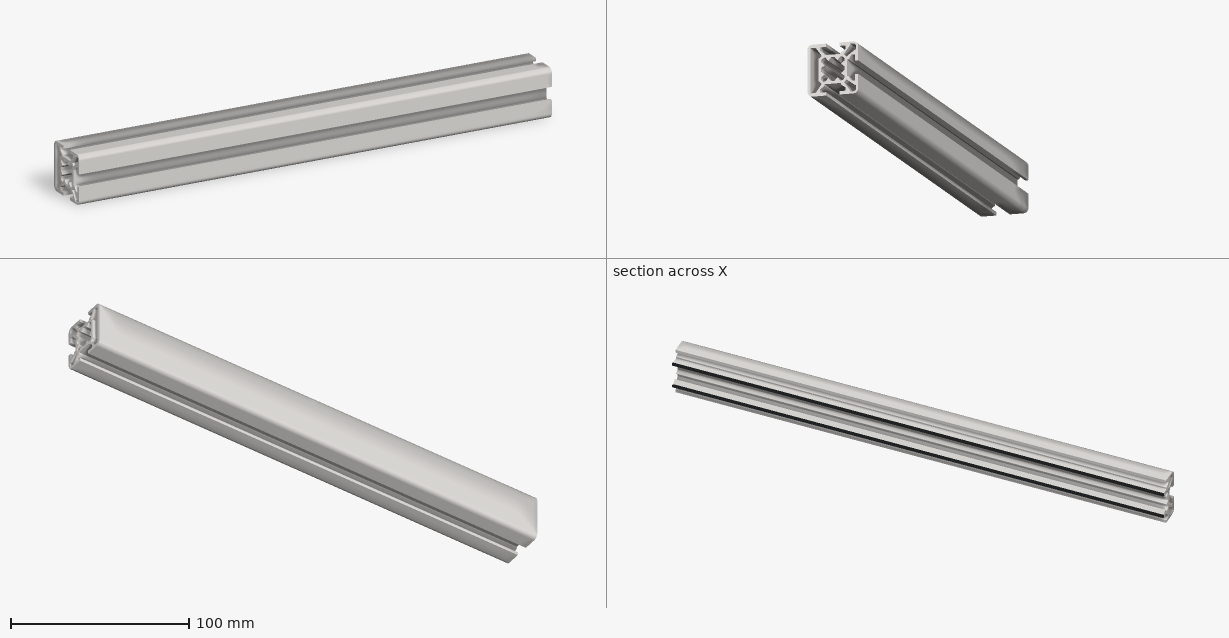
import cadquery as cq

LENGTH = 300.0
WIDTH = 30.0
HALF = WIDTH / 2
CORNER_RADIUS = 3.0

WALL = 1.95
CORNER_WALL = 1.2
CORE_WALL = 1.5

ROOF = HALF - WALL
CORNER_ROOF = HALF - CORNER_WALL

CORE_HALF = 8.5
BORE_HALF = CORE_HALF - CORE_WALL
BORE_FLAT_START = 5.7

RIB_CENTER = 2.7
RIB_BASE_HALF = 1.65
RIB_TIP_HALF = 0.15
RIB_HEIGHT = 1.95

SLOT_HALF = 4.0
SLOT_FLOOR_HALF = 4.8
SLOT_ROOF_HALF = 7.5
SLOT_FOOT_HEIGHT = 9.3
SLOT_SIDE_HEIGHT = 11.0

WEB_INNER_NEAR = 6.5
WEB_INNER_FAR = 8.0
WEB_OUTER = 10.2


def bar_of(section):
    """Full-length bar with the given section."""
    return section.extrude(LENGTH / 2, both=True)


def prism(points):
    """Full-length bar with a polygonal section."""
    return bar_of(cq.Workplane("XZ").polyline(points).close())


def square_bar(half_side):
    """Full-length bar with a square section."""
    return bar_of(cq.Workplane("XZ").rect(2 * half_side, 2 * half_side))


def turned(bar, angle):
    """Bar turned about the long axis."""
    return bar.rotate((0, 0, 0), (0, 1, 0), angle)


def t_slot():
    """Undercut slot open at the top."""
    right = [
        (SLOT_FLOOR_HALF, CORE_HALF),
        (SLOT_FLOOR_HALF, SLOT_FOOT_HEIGHT),
        (SLOT_ROOF_HALF, SLOT_SIDE_HEIGHT),
        (SLOT_ROOF_HALF, ROOF),
        (SLOT_HALF, ROOF),
        (SLOT_HALF, HALF),
    ]
    left = [(-x, z) for x, z in reversed(right)]
    return prism(right + left)


def rib(center):
    """Pointed rib on the top wall of the core, aimed at the bore."""
    tip = BORE_HALF - RIB_HEIGHT
    return prism([
        (center - RIB_BASE_HALF, BORE_HALF),
        (center - RIB_TIP_HALF, tip),
        (center + RIB_TIP_HALF, tip),
        (center + RIB_BASE_HALF, BORE_HALF),
    ])


def bore():
    """Square bore with flat corners, less two ribs on each wall."""
    hole = square_bar(BORE_HALF).edges("|Y").chamfer(BORE_HALF - BORE_FLAT_START)
    for angle in (0, 90, 180, 270):
        for center in (-RIB_CENTER, RIB_CENTER):
            hole = hole.cut(turned(rib(center), angle))
    return hole


def corner_cavity():
    """Closed cavity between the two diagonal webs at the upper right corner."""
    arc_start = HALF - CORNER_RADIUS
    arc_radius = CORNER_RADIUS - CORNER_WALL
    section = (
        cq.Workplane("XZ")
        .moveTo(WEB_INNER_NEAR, WEB_INNER_FAR)
        .lineTo(WEB_OUTER, ROOF)
        .lineTo(WEB_OUTER, CORNER_ROOF)
        .lineTo(arc_start, CORNER_ROOF)
        .radiusArc((CORNER_ROOF, arc_start), arc_radius)
        .lineTo(CORNER_ROOF, WEB_OUTER)
        .lineTo(ROOF, WEB_OUTER)
        .lineTo(WEB_INNER_FAR, WEB_INNER_NEAR)
        .close()
    )
    return bar_of(section)


def side_chamber():
    """Closed chamber between the plain left wall and the core."""
    upper = [
        (-ROOF, ROOF),
        (-WEB_OUTER, ROOF),
        (-WEB_INNER_NEAR, WEB_INNER_FAR),
        (-WEB_INNER_FAR, WEB_INNER_NEAR),
        (-CORE_HALF, WEB_INNER_NEAR),
    ]
    lower = [(x, -z) for x, z in reversed(upper)]
    return prism(upper + lower)


profile = square_bar(HALF).edges("|Y").fillet(CORNER_RADIUS)

for side_angle in (0, 90, 180):
    profile = profile.cut(turned(t_slot(), side_angle))

for corner_angle in (0, 90):
    profile = profile.cut(turned(corner_cavity(), corner_angle))

result = profile.cut(side_chamber()).cut(bore())